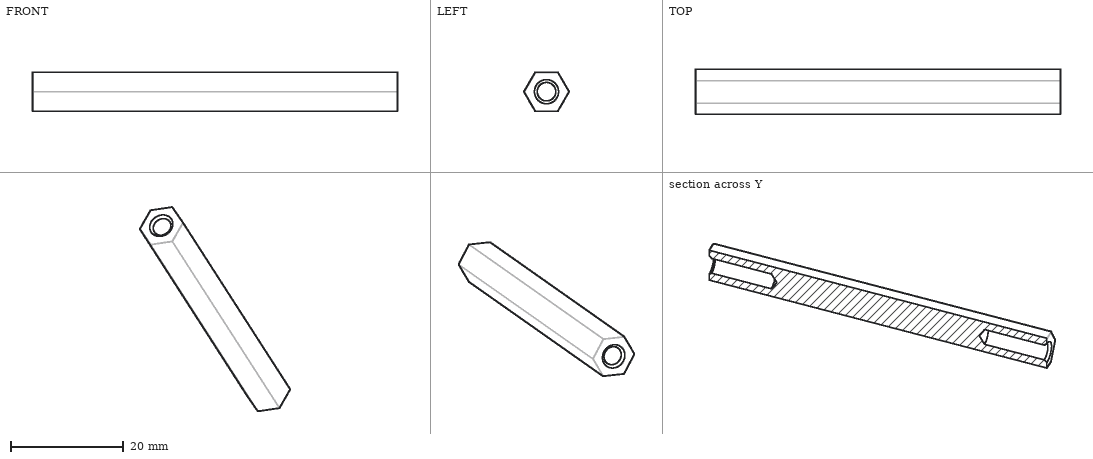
import cadquery as cq
import math

length = 65.0
across_flats = 7.0
hexagon_sides = 6
edge_radius = 0.1

bore_diameter = 3.3
mouth_diameter = 4.3
countersink_angle = 90.0
bore_depth = 12.0
drill_point_angle = 118.0


def cone_height(radius_change, included_angle):
    """Axial length over which a cone changes radius by the given amount."""
    return radius_change / math.tan(math.radians(included_angle / 2))


def hex_bar():
    """Hexagonal bar with flats on +Z and -Z, every outer edge lightly rounded."""
    corner_diameter = across_flats / math.cos(math.pi / hexagon_sides)
    return (
        cq.Workplane("YZ")
        .polygon(hexagon_sides, corner_diameter)
        .extrude(length / 2, both=True)
        .edges()
        .fillet(edge_radius)
    )


def hole_cutter():
    """Countersunk blind hole with a drill point, entering the -X end."""
    bore_radius = bore_diameter / 2
    mouth_radius = mouth_diameter / 2
    end_x = -length / 2
    countersink_x = end_x + cone_height(mouth_radius - bore_radius, countersink_angle)
    shoulder_x = end_x + bore_depth
    tip_x = shoulder_x + cone_height(bore_radius, drill_point_angle)
    return (
        cq.Workplane("XY")
        .moveTo(end_x, 0)
        .lineTo(end_x, mouth_radius)
        .lineTo(countersink_x, bore_radius)
        .lineTo(shoulder_x, bore_radius)
        .lineTo(tip_x, 0)
        .close()
        .revolve(360, (0, 0, 0), (1, 0, 0))
    )


near_hole = hole_cutter()
far_hole = near_hole.mirror("YZ")
result = hex_bar().cut(near_hole).cut(far_hole)